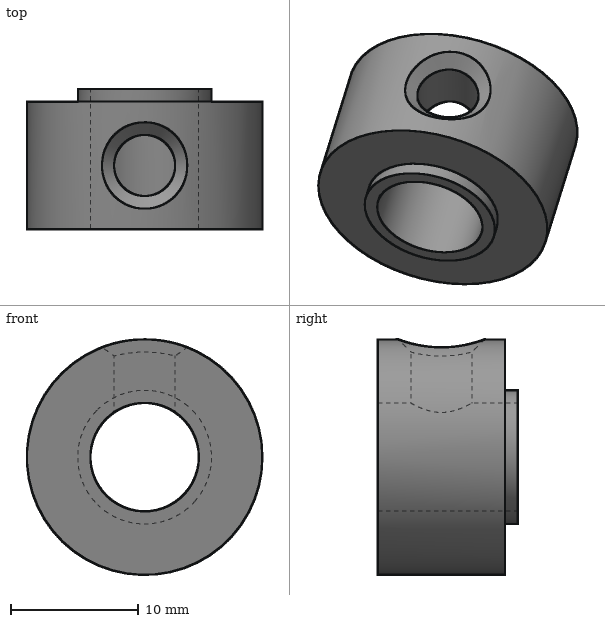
import cadquery as cq

outer_diameter = 18.5
body_length = 10.0
bore_diameter = 8.5

ring_diameter = 10.5
ring_height = 1.0

screw_hole_diameter = 4.8
screw_hole_chamfer = 1.0

outer_radius = outer_diameter / 2
screw_hole_y = body_length / 2
total_length = body_length + ring_height


def cylinder_along_y(diameter, length):
    """Cylinder on the collar axis, growing from the front face toward +Y."""
    return cq.Workplane("XZ").circle(diameter / 2).extrude(-length)


def drill_screw_hole(collar):
    """Drill from the top down to the collar axis and chamfer the curved mouth."""
    drill = (
        cq.Workplane("XY", origin=(0, screw_hole_y, 0))
        .circle(screw_hole_diameter / 2)
        .extrude(outer_radius)
    )
    drilled = collar.cut(drill)
    mouth_point = (0, screw_hole_y, outer_radius)
    mouth_edge = cq.selectors.NearestToPointSelector(mouth_point)
    return drilled.edges(mouth_edge).chamfer(screw_hole_chamfer)


body = cylinder_along_y(outer_diameter, body_length)
ring = cylinder_along_y(ring_diameter, total_length)
bore = cylinder_along_y(bore_diameter, total_length)

collar = body.union(ring).cut(bore)
result = drill_screw_hole(collar)